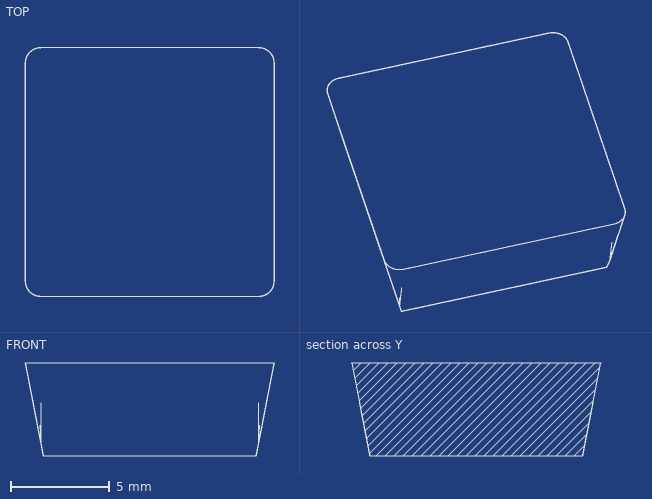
import cadquery as cq
import math

side = 12.7
thickness = 4.76
relief_angle = 11.0
corner_radius = 0.8

relief_slope = math.tan(math.radians(relief_angle))
bottom_side = side - 2 * thickness * relief_slope
cone_height = corner_radius / relief_slope
cone_tip_z = thickness - cone_height
corner_offset = side / 2 - corner_radius


def make_tapered_body():
    """Sharp-cornered body, widest at the top face."""
    return (
        cq.Workplane("XY")
        .rect(bottom_side, bottom_side)
        .workplane(offset=thickness)
        .rect(side, side)
        .loft(ruled=True, combine=True)
    )


def make_corner_waste():
    """Material outside the cone at the +X +Y corner."""
    block = (
        cq.Workplane("XY", origin=(corner_offset, corner_offset, cone_tip_z))
        .rect(corner_radius, corner_radius, centered=False)
        .extrude(cone_height)
    )
    cone = cq.Workplane(
        cq.Solid.makeCone(
            0,
            corner_radius,
            cone_height,
            pnt=cq.Vector(corner_offset, corner_offset, cone_tip_z),
        )
    )
    return block.cut(cone)


result = make_tapered_body()
corner_waste = make_corner_waste()
for angle in (0, 90, 180, 270):
    result = result.cut(corner_waste.rotate((0, 0, 0), (0, 0, 1), angle))